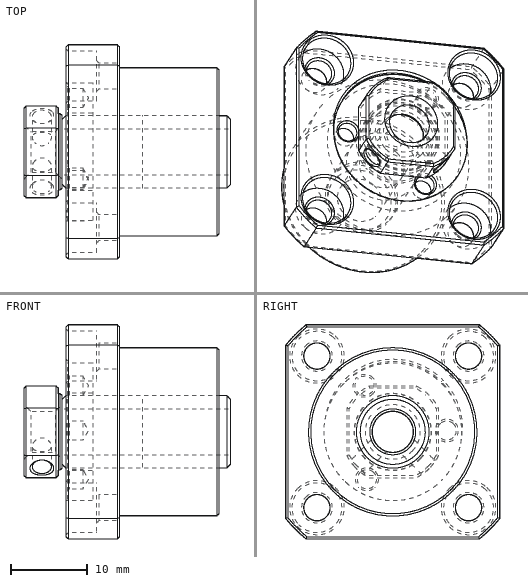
import cadquery as cq
import math


EDGE_BREAK = 0.3

FLANGE_SIDE = 28.0
FLANGE_CORNER_DIAMETER = 36.0
FLANGE_THICKNESS = 7.0
BARREL_DIAMETER = 22.0
HOUSING_LENGTH = 20.0

MOUNT_CIRCLE = 28.0
MOUNT_HOLE_DIAMETER = 3.4
MOUNT_HEAD_DIAMETER = 6.5
MOUNT_HEAD_DEPTH = 4.0

COVER_DIAMETER = 18.0
COVER_FACE = 0.2
COVER_THICKNESS = 3.3
COVER_BACK = COVER_FACE + COVER_THICKNESS
COVER_CLEARANCE = 0.3
SPANNER_HOLE_COUNT = 3
SPANNER_CIRCLE = 14.1
SPANNER_HOLE_DIAMETER = 2.5
SPANNER_HOLE_DEPTH = 2.0
SPANNER_HOLE_CHAMFER = 0.25
SPANNER_START_ANGLE = 1.4
DRILL_TIP_ANGLE = 118.0
MOUTH_RISE = 0.5
MOUTH_SIDE_SHIFT = 0.1

COLLAR_DIAMETER = 9.5
COLLAR_BORE = 6.0
COLLAR_CHAMFER = 0.5
FRONT_COLLAR_REACH = 0.5
REAR_COLLAR_REACH = 1.5
COLLAR_JOINT = HOUSING_LENGTH / 2

NUT_WIDTH = 12.0
NUT_CORNER_DIAMETER = 13.5
NUT_BODY_LENGTH = 4.5
NUT_BOSS_DIAMETER = 10.0
NUT_BOSS_LENGTH = 0.5
NUT_BOSS_CHAMFER = 0.25
NUT_BORE = 5.35
NUT_COUNTERSINK = 0.9
SET_SCREW_HOLE = 2.5
SET_SCREW_CHAMFER = 0.3
SET_SCREW_FROM_FACE = 2.35
SET_SCREW_ANGLES = (225.0, 315.0)
NUT_BOSS_END = -FRONT_COLLAR_REACH
NUT_BODY_END = NUT_BOSS_END - NUT_BOSS_LENGTH
NUT_FACE = NUT_BODY_END - NUT_BODY_LENGTH


def cylinder(diameter, start, end, y=0.0, z=0.0):
    """Cylinder along X from start to end."""
    solid = cq.Solid.makeCylinder(diameter / 2, end - start, cq.Vector(start, y, z), cq.Vector(1, 0, 0))
    return cq.Workplane(solid)


def cone(start_diameter, end_diameter, start, end, y=0.0, z=0.0):
    """Cone along X from start to end."""
    solid = cq.Solid.makeCone(
        start_diameter / 2, end_diameter / 2, end - start, cq.Vector(start, y, z), cq.Vector(1, 0, 0)
    )
    return cq.Workplane(solid)


def square_block(side, corner_diameter, start, end):
    """Square block along X with turned corners and broken end edges."""
    length = end - start
    block = cq.Workplane("YZ", origin=(start, 0, 0)).rect(side, side).extrude(length)
    block = block.intersect(cylinder(corner_diameter, start, end))
    return block.faces("<X or >X").chamfer(EDGE_BREAK)


def mount_hole(y, z):
    """Counterbored through hole with both front edges broken."""
    head_mouth = MOUNT_HEAD_DIAMETER + 2 * EDGE_BREAK
    hole_mouth = MOUNT_HOLE_DIAMETER + 2 * EDGE_BREAK
    seat = MOUNT_HEAD_DEPTH
    hole = cylinder(MOUNT_HOLE_DIAMETER, 0, FLANGE_THICKNESS, y, z)
    hole = hole.union(cylinder(MOUNT_HEAD_DIAMETER, 0, seat, y, z))
    hole = hole.union(cone(head_mouth, MOUNT_HEAD_DIAMETER, 0, EDGE_BREAK, y, z))
    return hole.union(cone(hole_mouth, MOUNT_HOLE_DIAMETER, seat, seat + EDGE_BREAK, y, z))


def make_housing():
    flange = square_block(FLANGE_SIDE, FLANGE_CORNER_DIAMETER, 0, FLANGE_THICKNESS)
    barrel = cylinder(BARREL_DIAMETER, 0, HOUSING_LENGTH).faces(">X").chamfer(EDGE_BREAK)
    housing = flange.union(barrel)
    housing = housing.cut(cylinder(COLLAR_DIAMETER, 0, HOUSING_LENGTH))
    housing = housing.cut(cylinder(COVER_DIAMETER, 0, COVER_BACK))
    mouth_end = COVER_DIAMETER - 2 * EDGE_BREAK
    housing = housing.cut(cone(COVER_DIAMETER, mouth_end, 0, EDGE_BREAK, MOUTH_SIDE_SHIFT, MOUTH_RISE))
    offset = MOUNT_CIRCLE / 2 * math.cos(math.radians(45))
    for y in (-offset, offset):
        for z in (-offset, offset):
            housing = housing.cut(mount_hole(y, z))
    return housing


def spanner_hole(y, z):
    """Blind drilled hole with a chamfered mouth and a conical bottom."""
    mouth = SPANNER_HOLE_DIAMETER + 2 * SPANNER_HOLE_CHAMFER
    tip_length = SPANNER_HOLE_DIAMETER / 2 / math.tan(math.radians(DRILL_TIP_ANGLE / 2))
    chamfer_end = COVER_FACE + SPANNER_HOLE_CHAMFER
    bottom = COVER_FACE + SPANNER_HOLE_DEPTH
    hole = cylinder(SPANNER_HOLE_DIAMETER, COVER_FACE, bottom, y, z)
    hole = hole.union(cone(mouth, SPANNER_HOLE_DIAMETER, COVER_FACE, chamfer_end, y, z))
    return hole.union(cone(SPANNER_HOLE_DIAMETER, 0, bottom, bottom + tip_length, y, z))


def make_cover():
    cover_bore = COLLAR_DIAMETER + 2 * COVER_CLEARANCE
    cover = cylinder(COVER_DIAMETER, COVER_FACE, COVER_BACK)
    cover = cover.cut(cylinder(cover_bore, COVER_FACE, COVER_BACK))
    for index in range(SPANNER_HOLE_COUNT):
        angle = math.radians(SPANNER_START_ANGLE + index * 360 / SPANNER_HOLE_COUNT)
        y = SPANNER_CIRCLE / 2 * math.cos(angle)
        z = SPANNER_CIRCLE / 2 * math.sin(angle)
        cover = cover.cut(spanner_hole(y, z))
    return cover


def make_collar(start, end, outer_face):
    """Shaft collar with a chamfer on the end that stands out of the unit."""
    collar = cylinder(COLLAR_DIAMETER, start, end).faces(outer_face).chamfer(COLLAR_CHAMFER)
    return collar.cut(cylinder(COLLAR_BORE, start, end))


def set_screw_hole(angle):
    """Radial hole from the bore to a turned corner; the angle runs from +Y toward +Z."""
    direction = cq.Vector(0, math.cos(math.radians(angle)), math.sin(math.radians(angle)))
    axis_point = cq.Vector(NUT_FACE + SET_SCREW_FROM_FACE, 0, 0)
    radius = SET_SCREW_HOLE / 2
    rim = NUT_CORNER_DIAMETER / 2
    hole = cq.Workplane(cq.Solid.makeCylinder(radius, rim, axis_point, direction))
    mouth_base = axis_point + direction * (rim - SET_SCREW_CHAMFER)
    mouth = cq.Solid.makeCone(radius, radius + SET_SCREW_CHAMFER, SET_SCREW_CHAMFER, mouth_base, direction)
    return hole.union(cq.Workplane(mouth))


def make_nut():
    body = square_block(NUT_WIDTH, NUT_CORNER_DIAMETER, NUT_FACE, NUT_BODY_END)
    boss = cylinder(NUT_BOSS_DIAMETER, NUT_BODY_END, NUT_BOSS_END).faces(">X").chamfer(NUT_BOSS_CHAMFER)
    nut = body.union(boss)
    nut = nut.cut(cylinder(NUT_BORE, NUT_FACE, NUT_BOSS_END))
    mouth = NUT_BORE + 2 * NUT_COUNTERSINK
    nut = nut.cut(cone(mouth, NUT_BORE, NUT_FACE, NUT_FACE + NUT_COUNTERSINK))
    nut = nut.cut(cone(NUT_BORE, mouth, NUT_BOSS_END - NUT_COUNTERSINK, NUT_BOSS_END))
    for angle in SET_SCREW_ANGLES:
        nut = nut.cut(set_screw_hole(angle))
    return nut


housing = make_housing()
cover = make_cover()
front_collar = make_collar(-FRONT_COLLAR_REACH, COLLAR_JOINT, "<X")
rear_collar = make_collar(COLLAR_JOINT, HOUSING_LENGTH + REAR_COLLAR_REACH, ">X")
nut = make_nut()

result = cq.Compound.makeCompound(
    [housing.val(), cover.val(), front_collar.val(), rear_collar.val(), nut.val()]
)